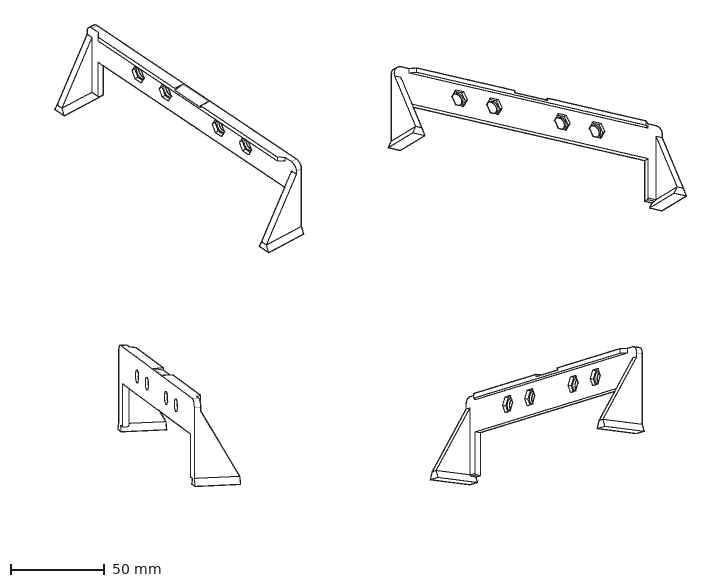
import cadquery as cq
import math

length = 171.8
depth = 25.0
height = 46.7

foot_bottom_width = 7.7
foot_top_width = 4.0
foot_height = 4.1
foot_center_x = (length - foot_bottom_width) / 2

plate_thickness = 3.6
frame_half_length = foot_center_x + foot_top_width / 2
corner_radius = 4.1
web_height = 20.1
leg_width = 9.0
leg_inner_x = frame_half_length - leg_width
leg_bottom_z = 3.3
leg_chamfer = 0.7

gusset_width = foot_top_width
gusset_top_z = height - 6.2

lip_depth = 6.5
lip_thickness = 2.5
lip_half_length = 74.9
lip_end_chamfer = lip_depth - plate_thickness

recess_length = 20.6
recess_drop = 1.2
recess_back_margin = 0.9

hole_diameter = 6.9
nut_across_flats = 8.5
nut_pocket_depth = 2.0
hole_z = height - 10.3
hole_positions = (-43.1, -21.3, 21.3, 43.1)


def side_profile(points, x_start, width):
    """Extrude a (Y, Z) outline along +X from x_start."""
    return cq.Workplane("YZ").workplane(offset=x_start).polyline(points).close().extrude(width)


def make_frame():
    plate = (
        cq.Workplane("XY")
        .box(2 * frame_half_length, plate_thickness, height - leg_bottom_z, centered=(True, False, False))
        .translate((0, -plate_thickness, leg_bottom_z))
        .edges("|Y and >Z")
        .fillet(corner_radius)
    )
    opening_height = height - web_height - leg_bottom_z
    opening = (
        cq.Workplane("XY")
        .box(2 * leg_inner_x, plate_thickness, opening_height, centered=(True, False, False))
        .translate((0, -plate_thickness, leg_bottom_z))
    )
    return plate.cut(opening).edges("<Y and <Z").chamfer(leg_chamfer)


def make_lip():
    tip_half_length = lip_half_length - lip_end_chamfer
    outline = [
        (-lip_half_length, 0),
        (-lip_half_length, -plate_thickness),
        (-tip_half_length, -lip_depth),
        (tip_half_length, -lip_depth),
        (lip_half_length, -plate_thickness),
        (lip_half_length, 0),
    ]
    underside = cq.Workplane("XY").workplane(offset=height - lip_thickness)
    return underside.polyline(outline).close().extrude(lip_thickness)


def make_support(side):
    """Foot and gusset at one end; side is -1 for -X and +1 for +X."""
    center_x = side * foot_center_x
    foot = (
        cq.Workplane("XZ")
        .polyline([
            (center_x - foot_bottom_width / 2, 0),
            (center_x + foot_bottom_width / 2, 0),
            (center_x + foot_top_width / 2, foot_height),
            (center_x - foot_top_width / 2, foot_height),
        ])
        .close()
        .extrude(depth)
    )
    gusset = side_profile(
        [(0, foot_height), (-depth, foot_height), (-plate_thickness, gusset_top_z), (0, gusset_top_z)],
        center_x - gusset_width / 2,
        gusset_width,
    )
    return foot.union(gusset)


def make_recess():
    return side_profile(
        [(-recess_back_margin, height), (-lip_depth, height), (-lip_depth, height - recess_drop)],
        -recess_length / 2,
        recess_length,
    )


def make_screw_holes():
    centers = [(x, hole_z) for x in hole_positions]
    nut_across_corners = nut_across_flats / math.cos(math.radians(30))
    holes = cq.Workplane("XZ").pushPoints(centers).circle(hole_diameter / 2).extrude(plate_thickness)
    pockets = (
        cq.Workplane("XZ")
        .workplane(offset=plate_thickness - nut_pocket_depth)
        .pushPoints(centers)
        .polygon(6, nut_across_corners)
        .extrude(nut_pocket_depth)
    )
    return holes.union(pockets)


body = make_frame().union(make_lip())
for end in (-1, 1):
    body = body.union(make_support(end))

result = body.cut(make_recess()).cut(make_screw_holes())